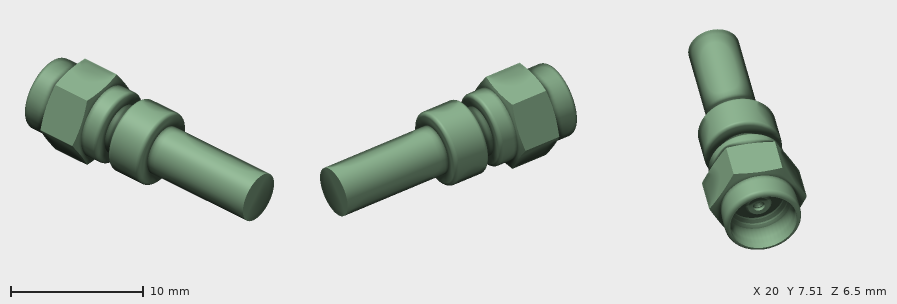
import cadquery as cq
import math


nut_length = 7.0
nut_radius = 2.95
nut_front_fillet = 0.38
nut_rear_fillet = 0.3

hex_start = 2.0
hex_end = 5.5
hex_across_flats = 6.5
hex_corner_radius = hex_across_flats / math.sqrt(3)
hex_bevel_length = 0.25

overall_length = 20.0
neck_radius = 2.0
tube_radius = 1.97
collar_start = 8.0
collar_end = 11.0
collar_radius = 3.0
collar_fillet = 0.3

socket_radius = nut_radius - nut_front_fillet
socket_bore_depth = 2.22
seat_cone_length = 0.21
seat_radius = 2.36
seat_length = 0.18
floor_cone_length = 0.18
floor_radius = 2.13
socket_depth = 2.97

boss_height = 1.08
boss_tip = socket_depth - boss_height
boss_radius = 1.0
boss_tip_radius = 0.83
boss_cone_length = 0.2

contact_hole_radius = 0.46
contact_hole_depth = 0.3
pilot_rim_radius = 0.4
pilot_root_radius = 0.3
pilot_length = 0.3
pilot_tip_length = 0.2


def cylinder(radius, start, end):
    """Solid cylinder along X between two positions."""
    return cq.Workplane("YZ", origin=(start, 0, 0)).circle(radius).extrude(end - start)


def revolve_about_x(profile):
    """Solid of revolution from (x, radius) points."""
    return cq.Workplane("XY").polyline(profile).close().revolve(360, (0, 0, 0), (1, 0, 0))


def make_nut_body():
    body = cylinder(nut_radius, 0, nut_length)
    body = body.faces("<X").edges().fillet(nut_front_fillet)
    return body.faces(">X").edges().fillet(nut_rear_fillet)


def make_hexagon():
    prism = (
        cq.Workplane("YZ", origin=(hex_start, 0, 0))
        .polygon(6, 2 * hex_corner_radius)
        .extrude(hex_end - hex_start)
    )
    bevel_envelope = revolve_about_x([
        (hex_start, 0),
        (hex_start, nut_radius),
        (hex_start + hex_bevel_length, hex_corner_radius),
        (hex_end - hex_bevel_length, hex_corner_radius),
        (hex_end, nut_radius),
        (hex_end, 0),
    ])
    return prism.intersect(bevel_envelope)


def make_collar():
    collar = cylinder(collar_radius, collar_start, collar_end)
    return collar.edges("%CIRCLE").fillet(collar_fillet)


def make_socket():
    seat_start = socket_bore_depth + seat_cone_length
    seat_end = seat_start + seat_length
    return revolve_about_x([
        (0, 0),
        (0, socket_radius),
        (socket_bore_depth, socket_radius),
        (seat_start, seat_radius),
        (seat_end, seat_radius),
        (seat_end + floor_cone_length, floor_radius),
        (socket_depth, floor_radius),
        (socket_depth, 0),
    ])


def make_boss():
    cone_start = boss_tip + boss_cone_length
    return revolve_about_x([
        (socket_depth, 0),
        (socket_depth, boss_radius),
        (cone_start, boss_radius),
        (boss_tip, boss_tip_radius),
        (boss_tip, 0),
    ])


def make_contact_hole():
    step = boss_tip + contact_hole_depth
    pilot_end = step + pilot_length
    return revolve_about_x([
        (boss_tip, 0),
        (boss_tip, contact_hole_radius),
        (step, contact_hole_radius),
        (step, pilot_rim_radius),
        (pilot_end, pilot_root_radius),
        (pilot_end + pilot_tip_length, 0),
    ])


neck = cylinder(neck_radius, hex_end, collar_end)
tube = cylinder(tube_radius, collar_start, overall_length)
connector = make_nut_body().union(make_hexagon()).union(neck).union(tube).union(make_collar())
result = connector.cut(make_socket()).union(make_boss()).cut(make_contact_hole())